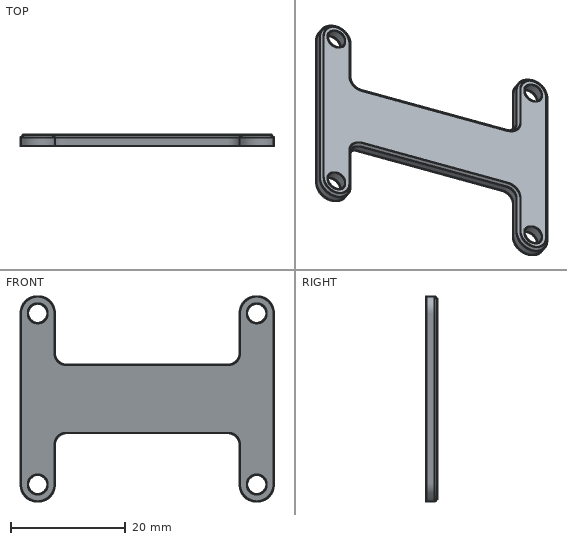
import cadquery as cq

hole_spacing_x = 38.4
hole_spacing_z = 30.0
hole_diameter = 3.4
leg_width = 6.0
web_height = 12.0
thickness = 2.0
inner_corner_radius = 2.0
back_chamfer = 0.5

leg_length = hole_spacing_z + leg_width
leg_center_x = hole_spacing_x / 2
inner_corner_x = leg_center_x - leg_width / 2
inner_corner_z = web_height / 2


def xz_plane():
    """Sketch plane on the front face (y = 0), with its normal along -Y."""
    return cq.Workplane("XZ")


def make_leg(center_x):
    """Upright leg with fully rounded ends, extruded toward +Y."""
    return xz_plane().center(center_x, 0).slot2D(leg_length, leg_width, 90).extrude(-thickness)


def make_web():
    """Horizontal plate joining the centre lines of the two legs."""
    return xz_plane().rect(hole_spacing_x, web_height).extrude(-thickness)


def round_inner_corners(plate):
    """Fillet the four corners where the web meets the legs."""
    for x in (-inner_corner_x, inner_corner_x):
        for z in (-inner_corner_z, inner_corner_z):
            corner = cq.selectors.NearestToPointSelector((x, thickness / 2, z))
            plate = plate.edges("|Y").edges(corner).fillet(inner_corner_radius)
    return plate


def make_holes():
    """Four mounting holes, concentric with the leg ends."""
    return (
        xz_plane()
        .rect(hole_spacing_x, hole_spacing_z, forConstruction=True)
        .vertices()
        .circle(hole_diameter / 2)
        .extrude(-thickness)
    )


plate = make_web()
for leg_x in (-leg_center_x, leg_center_x):
    plate = plate.union(make_leg(leg_x))
plate = round_inner_corners(plate)

plate = plate.faces(">Y").chamfer(back_chamfer)
result = plate.cut(make_holes())